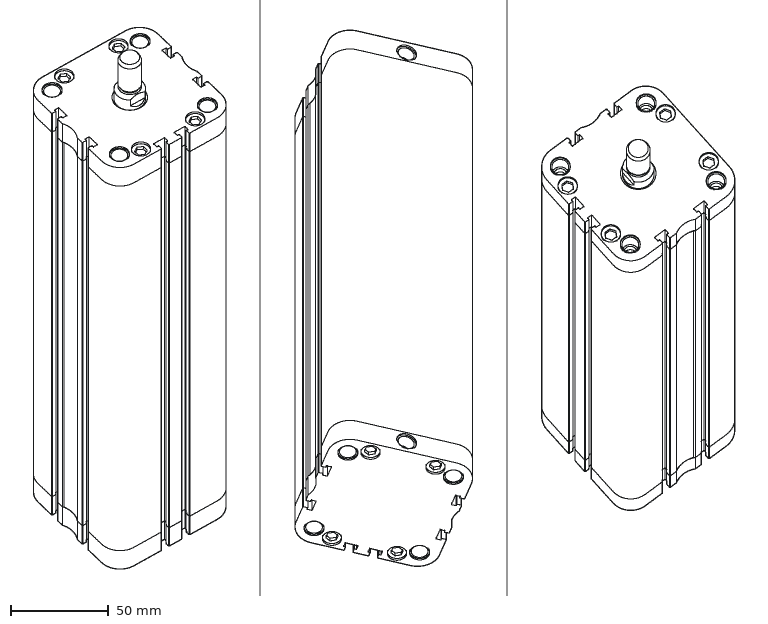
import cadquery as cq
import math

total_height = 329.0
body_width = 77.0
body_height = 299.0
cap_height = 13.8
corner_radius = 12.0
half_width = body_width / 2
cap_base = body_height - cap_height

slot_mouth_width = 4.5
slot_mouth_chamfer = 0.3
slot_width = 7.0
slot_depth = 5.3
slot_lip = 2.5
side_slot_offset = 12.8
right_slot_offset = 6.5

groove_width = 12.5
groove_depth = 1.5
groove_chamfer = 0.5

mount_offset = 28.3
mount_diameter = 8.5
mount_depth = 10.0
mount_mouth_diameter = 10.2
mount_mouth_depth = 1.0
mount_core_diameter = 6.5

screw_x = 32.2
screw_y = 17.5
screw_diameter = 10.0
screw_recess_depth = 1.3
socket_size = 5.5
socket_depth = 3.3

port_diameter = 8.5
port_mouth_diameter = 10.5
port_mouth_depth = 1.0
port_depth = 8.0
port_inset = 7.5
port_z = cap_height - port_inset
passage_diameter = 4.0
passage_shift = 1.3
passage_depth = 13.0

rod_diameter = 16.0
thread_diameter = 12.2
thread_length = 19.5
tip_chamfer = 1.0
tip_chamfer_length = 2.3
neck_diameter = 10.0
neck_length = 2.0
shoulder_chamfer = 2.0
flat_size = 13.0
flat_bottom = 301.5
rod_hole_mouth_diameter = 18.0
rod_hole_mouth_angle = 90


def slot_cutter(height):
    """T-slot standing on Z = 0 and open towards +Y, with chamfered mouth edges."""
    mouth = slot_mouth_width / 2
    flared_mouth = mouth + slot_mouth_chamfer
    half_slot = slot_width / 2
    bottom = half_width - slot_depth
    lip = half_width - slot_lip
    return (
        cq.Workplane("XY")
        .moveTo(-half_slot, bottom)
        .lineTo(half_slot, bottom)
        .lineTo(half_slot, lip)
        .lineTo(mouth, lip)
        .lineTo(mouth, half_width - slot_mouth_chamfer)
        .lineTo(flared_mouth, half_width)
        .lineTo(-flared_mouth, half_width)
        .lineTo(-mouth, half_width - slot_mouth_chamfer)
        .lineTo(-mouth, lip)
        .lineTo(-half_slot, lip)
        .close()
        .extrude(height)
    )


def groove_cutter(height, chamfer):
    """Shallow round groove open towards +Y; chamfer breaks its two edges."""
    edge_x = groove_width / 2
    arc_x = edge_x - chamfer
    arc_y = half_width - chamfer
    outline = cq.Workplane("XY").moveTo(-edge_x, half_width)
    if chamfer > 0:
        outline = outline.lineTo(-arc_x, arc_y)
    outline = outline.threePointArc((0, half_width - groove_depth), (arc_x, arc_y))
    if chamfer > 0:
        outline = outline.lineTo(edge_x, half_width)
    return outline.close().extrude(height)


def body_profile(height, edge_chamfer=0):
    """Rounded square prism with the T-slots and round grooves cut along it."""
    block = cq.Workplane("XY").rect(body_width, body_width).extrude(height)
    block = block.edges("|Z").fillet(corner_radius)
    slot = slot_cutter(height)
    groove = groove_cutter(height, edge_chamfer)
    z_axis = ((0, 0, 0), (0, 0, 1))
    for side in (-1, 1):
        side_slot = slot.translate((side * side_slot_offset, 0, 0))
        for angle in (0, 180):
            block = block.cut(side_slot.rotate(*z_axis, angle))
        right_slot = slot.translate((side * right_slot_offset, 0, 0))
        block = block.cut(right_slot.rotate(*z_axis, -90))
    for angle in (0, 180):
        block = block.cut(groove.rotate(*z_axis, angle))
    return block


def cut_mounting_holes(cap):
    points = [(x * mount_offset, y * mount_offset) for x in (-1, 1) for y in (-1, 1)]
    top = cq.Workplane("XY").workplane(offset=cap_height).pushPoints(points)
    steps = (
        (mount_core_diameter, cap_height),
        (mount_diameter, mount_depth),
        (mount_mouth_diameter, mount_mouth_depth),
    )
    for diameter, depth in steps:
        cap = cap.cut(top.circle(diameter / 2).extrude(-depth))
    return cap


def cut_screw_heads(cap):
    points = [(x * screw_x, y * screw_y) for x in (-1, 1) for y in (-1, 1)]
    top = cq.Workplane("XY").workplane(offset=cap_height).pushPoints(points)
    cap = cap.cut(top.circle(screw_diameter / 2).extrude(-screw_recess_depth))
    socket_corners = socket_size / math.cos(math.pi / 6)
    return cap.cut(top.polygon(6, socket_corners).extrude(-socket_depth))


def cut_side_hole(cap, z, diameter, depth):
    face = cq.Workplane("YZ", origin=(-half_width, 0, z))
    return cap.cut(face.circle(diameter / 2).extrude(depth))


def cut_port(cap):
    cap = cut_side_hole(cap, port_z, port_diameter, port_depth)
    return cut_side_hole(cap, port_z, port_mouth_diameter, port_mouth_depth)


def end_cap():
    """Cap with its outer face up and its inner face on Z = 0."""
    return cut_port(cut_screw_heads(cut_mounting_holes(body_profile(cap_height))))


def piston_rod():
    neck_top = total_height - thread_length
    shoulder = neck_top - neck_length
    rod_radius = rod_diameter / 2
    thread_radius = thread_diameter / 2
    neck_radius = neck_diameter / 2
    rod = (
        cq.Workplane("XZ")
        .moveTo(0, cap_base)
        .lineTo(rod_radius, cap_base)
        .lineTo(rod_radius, shoulder - shoulder_chamfer)
        .lineTo(rod_radius - shoulder_chamfer, shoulder)
        .lineTo(neck_radius, shoulder)
        .lineTo(neck_radius, neck_top)
        .lineTo(thread_radius, neck_top)
        .lineTo(thread_radius, total_height - tip_chamfer_length)
        .lineTo(thread_radius - tip_chamfer, total_height)
        .lineTo(0, total_height)
        .close()
        .revolve(360, (0, 0, 0), (0, 1, 0))
    )
    flat_x = flat_size / 2
    for side in (-1, 1):
        flat = (
            cq.Workplane("XZ")
            .moveTo(side * flat_x, flat_bottom)
            .lineTo(side * flat_x, neck_top)
            .lineTo(side * rod_diameter, neck_top)
            .lineTo(side * rod_diameter, flat_bottom - (rod_diameter - flat_x))
            .close()
            .extrude(rod_diameter, both=True)
        )
        rod = rod.cut(flat)
    return rod


def bottom_end_cap():
    cap = cut_side_hole(end_cap(), port_z - passage_shift, passage_diameter, passage_depth)
    return cap.mirror("XY").translate((0, 0, cap_height))


def top_end_cap():
    """Cap with a hole for the rod, chamfered at the outer face."""
    cap = end_cap().faces(">Z").workplane(origin=(0, 0, cap_height))
    cap = cap.cskHole(rod_diameter, rod_hole_mouth_diameter, rod_hole_mouth_angle)
    return cap.translate((0, 0, cap_base))


barrel = body_profile(cap_base - cap_height, groove_chamfer).translate((0, 0, cap_height))
bottom_cap = bottom_end_cap()
top_cap = top_end_cap()
rod = piston_rod()

result = cq.Compound.makeCompound([barrel.val(), bottom_cap.val(), top_cap.val(), rod.val()])